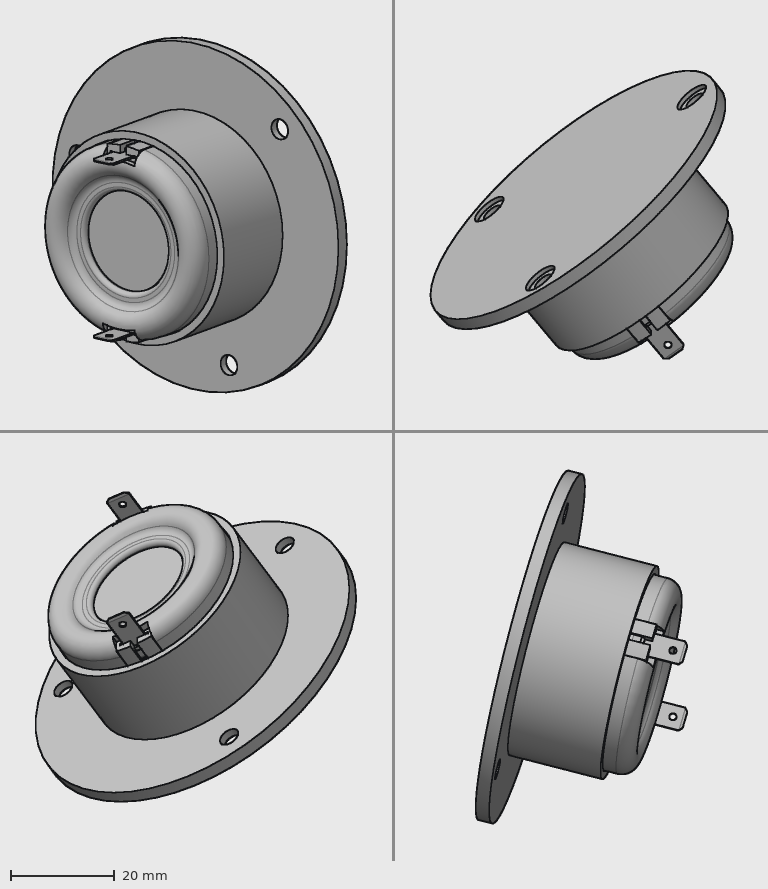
import cadquery as cq
import math


flange_radius = 34.8
flange_thickness = 2.7
tube_radius = 21.2
tube_end = 21.2
bore_radius = 19.6
screw_hole_radius = 2.0
screw_circle_radius = 29.5
counterbore_radius = 3.5
screw_seat_thickness = 1.8
screw_hole_count = 3
first_screw_angle = 46.0

cover_radius = 19.5
cover_end = 27.1
bead_radius = 3.3
bead_inner_radius = 13.5
ring_radius = 11.9
recess_radius = 10.0
recess_lip_radius = 1.0
recess_wall = 0.35

lead_width = 1.45
lead_thickness = 0.4
lead_top = 19.0
lead_bend_radius = 0.9
lead_bend_depth = 21.8
lead_end = 23.45
lead_end_undercut = 0.2

block_start = lead_bend_depth - lead_bend_radius
block_end = 25.55
block_inner_radius = 16.9
block_width = 7.7
slot_floor = lead_top - lead_thickness
slot_floor_end = 24.1

terminal_end = 32.3
terminal_thickness = 0.38
terminal_middle = 17.75
terminal_top = terminal_middle + terminal_thickness / 2
terminal_bottom = terminal_middle - terminal_thickness / 2
shoulder_width = 6.3
shoulder_setback = 0.5
tab_width = 4.9
tab_taper_length = 0.6
tab_tip_width = 3.35
tab_tip_thickness = 0.175
tab_hole_radius = 0.7
tab_hole_depth = 29.9

terminal_sides = (1, -1)


def disc(radius, start, end):
    """A round bar on the common axis between two depths."""
    return cq.Workplane("XZ").workplane(offset=start).circle(radius).extrude(end - start)


def bar(width, start, end, bottom, top):
    """A rectangular bar centred on X, between two depths and two heights."""
    corner = cq.Vector(-width / 2, -end, bottom)
    return cq.Workplane(cq.Solid.makeBox(width, end - start, top - bottom, corner))


def on_side(body, side):
    """Leave a body at the top, or mirror it to the bottom."""
    return body if side > 0 else body.mirror("XY")


def make_screw_holes(radius, seat_thickness):
    """Holes through the flange, leaving a seat of the given thickness at its front."""
    return (
        cq.Workplane("XZ")
        .polarArray(screw_circle_radius, first_screw_angle, 360, screw_hole_count)
        .circle(radius)
        .extrude(flange_thickness - seat_thickness)
    )


def make_housing():
    housing = disc(flange_radius, 0, flange_thickness).union(disc(tube_radius, 0, tube_end))
    bore = disc(bore_radius, flange_thickness, tube_end)
    screw_holes = make_screw_holes(screw_hole_radius, 0)
    counterbores = make_screw_holes(counterbore_radius, screw_seat_thickness)
    return housing.cut(bore).cut(screw_holes).cut(counterbores)


def make_cover():
    bead_centre_radius = cover_radius - bead_radius
    bead_centre_depth = cover_end - bead_radius
    flank_sine = (bead_centre_radius - bead_inner_radius) / bead_radius
    flank_angle = math.asin(flank_sine)
    hollow_radius = (bead_inner_radius - ring_radius) / flank_sine
    flank_depth = bead_centre_depth + bead_radius * math.cos(flank_angle)
    ring_depth = flank_depth - hollow_radius * (1 - math.cos(flank_angle))
    hollow_middle = (
        ring_radius + hollow_radius * math.sin(flank_angle / 2),
        -(ring_depth + hollow_radius * (1 - math.cos(flank_angle / 2))),
    )
    lip_start = ring_depth - recess_lip_radius
    lip_diagonal = recess_lip_radius * math.sqrt(0.5)
    lip_outer_radius = recess_radius + recess_lip_radius
    recess_floor = lip_start - recess_wall

    return (
        cq.Workplane("XY")
        .moveTo(0, -flange_thickness)
        .lineTo(cover_radius, -flange_thickness)
        .lineTo(cover_radius, -bead_centre_depth)
        .threePointArc((bead_centre_radius, -cover_end), (bead_inner_radius, -flank_depth))
        .threePointArc(hollow_middle, (ring_radius, -ring_depth))
        .lineTo(lip_outer_radius, -ring_depth)
        .threePointArc(
            (lip_outer_radius - lip_diagonal, -(lip_start + lip_diagonal)),
            (recess_radius, -lip_start),
        )
        .lineTo(recess_radius, -recess_floor)
        .lineTo(0, -recess_floor)
        .close()
        .revolve(360, (0, 0, 0), (0, 1, 0))
    )


def make_block_space(end):
    """The space of a block and its notch, from the back of the block to a given depth."""
    sector = disc(bore_radius, block_start, end).cut(disc(block_inner_radius, block_start, end))
    return sector.intersect(bar(block_width, block_start, end, 0, bore_radius))


def make_lead():
    bend_height = lead_top - lead_bend_radius
    inner_bend_radius = lead_bend_radius - lead_thickness
    outer_diagonal = lead_bend_radius * math.sqrt(0.5)
    inner_diagonal = inner_bend_radius * math.sqrt(0.5)
    return (
        cq.Workplane("YZ")
        .moveTo(-lead_end, lead_top)
        .lineTo(-lead_bend_depth, lead_top)
        .threePointArc(
            (-lead_bend_depth + outer_diagonal, bend_height + outer_diagonal),
            (-lead_bend_depth + lead_bend_radius, bend_height),
        )
        .lineTo(-lead_bend_depth + inner_bend_radius, bend_height)
        .threePointArc(
            (-lead_bend_depth + inner_diagonal, bend_height + inner_diagonal),
            (-lead_bend_depth, slot_floor),
        )
        .lineTo(-lead_end + lead_end_undercut, slot_floor)
        .close()
        .extrude(lead_width / 2, both=True)
    )


def make_shoulder(end):
    return bar(shoulder_width, block_start, end, terminal_bottom, terminal_top)


def make_tab():
    shoulder_end = block_end - shoulder_setback
    taper_start = terminal_end - tab_taper_length
    straight = bar(tab_width, shoulder_end, taper_start, terminal_bottom, terminal_top)
    tip = (
        cq.Workplane("XZ", origin=(0, -taper_start, terminal_middle))
        .rect(tab_width, terminal_thickness)
        .workplane(offset=tab_taper_length)
        .rect(tab_tip_width, tab_tip_thickness)
        .loft(ruled=True)
    )
    hole = (
        cq.Workplane("XY", origin=(0, -tab_hole_depth, terminal_middle))
        .circle(tab_hole_radius)
        .extrude(terminal_thickness, both=True)
    )
    return straight.union(tip).cut(hole)


def make_terminal():
    return make_shoulder(block_end - shoulder_setback).union(make_tab())


def make_block(lead):
    slot = bar(lead_width, block_start, block_end, slot_floor, bore_radius)
    window = bar(lead_width, slot_floor_end, block_end, terminal_top, bore_radius)
    pocket = make_shoulder(block_end)
    return make_block_space(block_end).cut(slot).cut(window).cut(pocket).cut(lead)


housing = make_housing()
cover = make_cover()
top_lead = make_lead()
top_block = make_block(top_lead)
top_terminal = make_terminal()

leads = []
blocks = []
terminals = []
for side in terminal_sides:
    cover = cover.cut(on_side(make_block_space(cover_end), side))
    leads.append(on_side(top_lead, side).val())
    blocks.append(on_side(top_block, side).val())
    terminals.append(on_side(top_terminal, side).val())

result = cq.Compound.makeCompound([housing.val(), cover.val(), *leads, *blocks, *terminals])